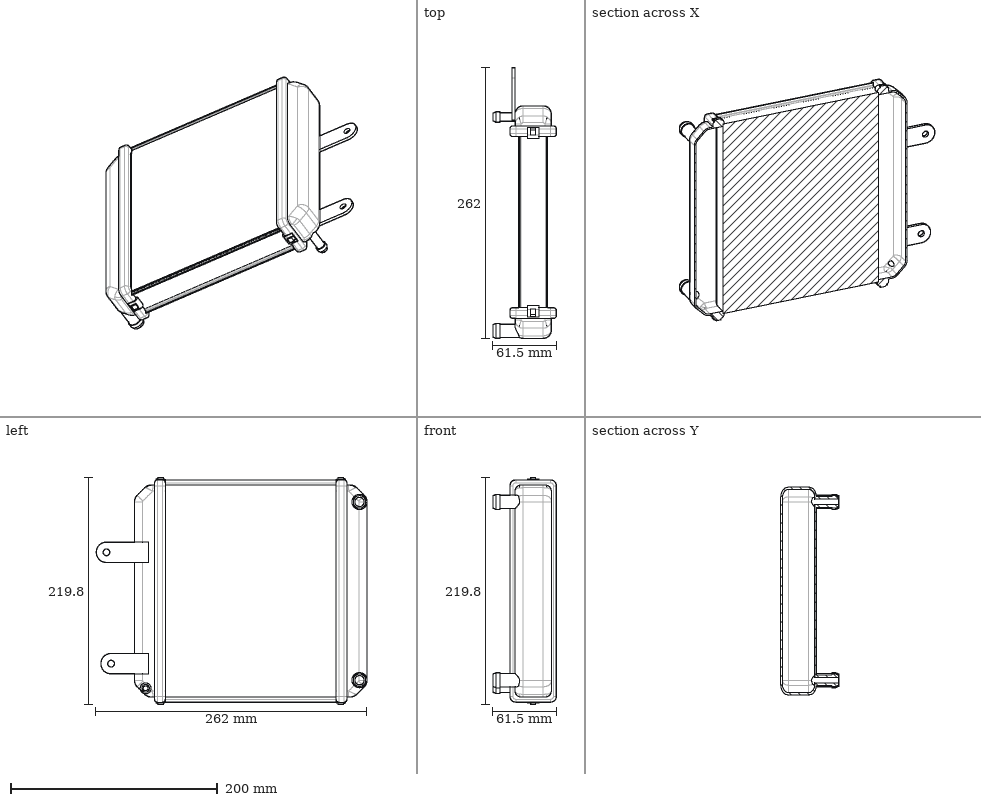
import cadquery as cq
import math


FLANGE_WIDTH = 45.0
FLANGE_HEIGHT = 215.0
FLANGE_SPAN = 186.2
FLANGE_DEPTH = 10.5
FLANGE_OUTER_Y = FLANGE_SPAN / 2
FLANGE_INNER_Y = FLANGE_OUTER_Y - FLANGE_DEPTH
FLANGE_CORNER_RADIUS = 5.8
FLANGE_EDGE_RADIUS = 3.0

TANK_SPAN = 225.0
TANK_END_Y = TANK_SPAN / 2
TANK_WIDTH = 35.0
TANK_HEIGHT = 205.0
TANK_CHAMFER = 12.5
TANK_BEND_RADIUS = 9.0
TANK_EDGE_RADIUS = 7.9
TANK_NECK_RADIUS = 6.0
TANK_WALL = 2.0

PICK_MARGIN = 0.3

STRAP_WIDTH = 11.3
STRAP_THICKNESS = 0.8
STRAP_OVERHANG = 1.8
STRAP_SETBACK = 1.5
NUB_WIDTH = 5.0
NUB_RISE = 2.4
NUB_OUTER_GAP = 2.0
NUB_LENGTH = 6.8
NUB_RAMP = 1.8

CORE_WIDTH = 28.0
CHANNEL_DEPTH = 5.0
CHANNEL_WALL = 1.0
CHANNEL_INNER_RADIUS = 1.0
CHANNEL_OUTER_RADIUS = CHANNEL_INNER_RADIUS + CHANNEL_WALL

PIPE_END_X = -39.0
BEAD_SETBACK = 3.1
BEAD_LENGTH = 3.7
PIPE_TIP_STEP = 0.5
COOLANT_PIPE_RADIUS = 6.5
COOLANT_BEAD_RADIUS = 7.3
COOLANT_BORE_RADIUS = 4.5
COOLANT_PIPE_Y = COOLANT_BEAD_RADIUS - TANK_END_Y
COOLANT_PIPE_Z = 86.2
BLEED_PIPE_RADIUS = 4.2
BLEED_BEAD_RADIUS = 5.2
BLEED_BORE_RADIUS = 2.4
BLEED_PIPE_Y = 101.5
BLEED_PIPE_Z = -94.0

BRACKETS = [(37.5, 37.0), (-70.2, 32.5)]
BRACKET_THICKNESS = 3.1
BRACKET_WIDTH = 20.0
BRACKET_START_Y = 98.7
BRACKET_HOLE_RADIUS = 3.1


def plate_along_y(width, height, start_y, end_y):
    """A block centred on X and Z that reaches from start_y to end_y."""
    return cq.Workplane("XY").box(width, end_y - start_y, height).translate((0, (start_y + end_y) / 2, 0))


def make_flange():
    flange = plate_along_y(FLANGE_WIDTH, FLANGE_HEIGHT, FLANGE_INNER_Y, FLANGE_OUTER_Y)
    flange = flange.edges("|Y").fillet(FLANGE_CORNER_RADIUS)
    return flange.faces("<Y or >Y").edges().fillet(FLANGE_EDGE_RADIUS)


def make_tank_form(inset):
    """Tank outline, bevelled at both ends and rounded, drawn in by the inset on every outer face."""
    half_width = TANK_WIDTH / 2 - inset
    half_height = TANK_HEIGHT / 2 - inset
    end_y = TANK_END_Y - inset
    bevel = TANK_CHAMFER - inset * (2 - math.sqrt(2))
    neck_end_y = end_y - bevel

    block = plate_along_y(2 * half_width, 2 * half_height, FLANGE_INNER_Y, end_y)
    form = block.faces(">Y").edges("|X").chamfer(bevel)
    form = form.faces(">Y").edges("|X").fillet(TANK_BEND_RADIUS - inset)
    past_neck = cq.selectors.BoxSelector(
        (-TANK_WIDTH, neck_end_y + PICK_MARGIN, -TANK_HEIGHT), (TANK_WIDTH, 2 * end_y, TANK_HEIGHT)
    )
    form = form.edges(past_neck).edges("not |X").fillet(TANK_EDGE_RADIUS - inset)

    form = form.intersect(block.edges("|Y").fillet(TANK_NECK_RADIUS - inset))
    neck_bends = cq.selectors.BoxSelector(
        (-PICK_MARGIN, neck_end_y - PICK_MARGIN, -TANK_HEIGHT),
        (PICK_MARGIN, neck_end_y + PICK_MARGIN, TANK_HEIGHT),
    )
    return form.edges(neck_bends).fillet(TANK_BEND_RADIUS - inset)


def make_clip():
    """Strap hooked over the top and inner side of the flange, with a ramped nub."""
    top = FLANGE_HEIGHT / 2
    strap_top = top + STRAP_THICKNESS
    strap_inner_y = FLANGE_INNER_Y - STRAP_OVERHANG
    strap_outer_y = FLANGE_OUTER_Y - STRAP_SETBACK
    bend_radius = FLANGE_EDGE_RADIUS + STRAP_THICKNESS
    strap_bottom = top - CHANNEL_DEPTH + CHANNEL_WALL
    strap = (
        cq.Workplane("YZ")
        .moveTo(strap_outer_y, strap_bottom)
        .lineTo(strap_outer_y, strap_top)
        .lineTo(strap_inner_y + bend_radius, strap_top)
        .radiusArc((strap_inner_y, strap_top - bend_radius), -bend_radius)
        .lineTo(strap_inner_y, strap_bottom)
        .close()
        .extrude(STRAP_WIDTH / 2, both=True)
    )
    nub_top = top + NUB_RISE
    nub_outer_y = FLANGE_OUTER_Y - NUB_OUTER_GAP
    nub_inner_y = nub_outer_y - NUB_LENGTH
    nub = (
        cq.Workplane("YZ")
        .moveTo(nub_inner_y, top)
        .lineTo(nub_outer_y, top)
        .lineTo(nub_outer_y, strap_top)
        .lineTo(nub_outer_y - NUB_RAMP, nub_top)
        .lineTo(nub_inner_y, nub_top)
        .close()
        .extrude(NUB_WIDTH / 2, both=True)
    )
    return strap.union(nub)


def make_tank_blank():
    """Tank, flange and the clips at both ends, for the +Y end."""
    clip = make_clip()
    return make_tank_form(0).union(make_flange()).union(clip).union(clip.mirror("XY"))


def make_pipe(radius, bead_radius, y, z):
    """Solid pipe with a cone rising to a bead at its tip, reaching to the middle plane of the tank."""
    bead_start_x = PIPE_END_X + BEAD_SETBACK
    bead_end_x = bead_start_x + BEAD_LENGTH
    return (
        cq.Workplane("XY")
        .moveTo(PIPE_END_X, 0)
        .lineTo(PIPE_END_X, radius - PIPE_TIP_STEP)
        .lineTo(bead_start_x, bead_radius)
        .lineTo(bead_end_x, bead_radius)
        .lineTo(bead_end_x, radius)
        .lineTo(0, radius)
        .lineTo(0, 0)
        .close()
        .revolve(360, (0, 0, 0), (1, 0, 0))
        .translate((0, y, z))
    )


def make_bore(radius, y, z):
    return cq.Workplane("YZ", origin=(PIPE_END_X, y, z)).circle(radius).extrude(-PIPE_END_X)


def make_bracket(z, reach):
    """Flat lug with a round end on the -X side of the tank."""
    outer_x = -TANK_WIDTH / 2 - BRACKET_THICKNESS
    half_width = BRACKET_WIDTH / 2
    tip_y = TANK_END_Y + reach
    hole_y = tip_y - half_width
    return (
        cq.Workplane("YZ", origin=(outer_x, 0, z))
        .moveTo(BRACKET_START_Y, -half_width)
        .lineTo(hole_y, -half_width)
        .threePointArc((tip_y, 0), (hole_y, half_width))
        .lineTo(BRACKET_START_Y, half_width)
        .close()
        .moveTo(hole_y, 0)
        .circle(BRACKET_HOLE_RADIUS)
        .extrude(BRACKET_THICKNESS)
    )


def make_inlet_tank():
    """Tank at the -Y end, with the two coolant pipes."""
    tank = make_tank_blank().mirror("XZ")
    cavity = make_tank_form(TANK_WALL).mirror("XZ")
    for z in (-COOLANT_PIPE_Z, COOLANT_PIPE_Z):
        tank = tank.union(make_pipe(COOLANT_PIPE_RADIUS, COOLANT_BEAD_RADIUS, COOLANT_PIPE_Y, z))
        cavity = cavity.union(make_bore(COOLANT_BORE_RADIUS, COOLANT_PIPE_Y, z))
    return tank.cut(cavity)


def make_return_tank():
    """Tank at the +Y end, with the bleed pipe and the mounting brackets."""
    tank = make_tank_blank().union(
        make_pipe(BLEED_PIPE_RADIUS, BLEED_BEAD_RADIUS, BLEED_PIPE_Y, BLEED_PIPE_Z)
    )
    for z, reach in BRACKETS:
        tank = tank.union(make_bracket(z, reach))
    bore = make_bore(BLEED_BORE_RADIUS, BLEED_PIPE_Y, BLEED_PIPE_Z)
    return tank.cut(make_tank_form(TANK_WALL).union(bore))


def make_channel():
    """Side plate along the top of the core, with its legs pointing up."""
    length = 2 * FLANGE_INNER_Y
    base_z = FLANGE_HEIGHT / 2 - CHANNEL_DEPTH
    outside = (
        cq.Workplane("XY").box(CORE_WIDTH, length, CHANNEL_DEPTH, centered=(True, True, False))
        .edges("|Y and <Z").fillet(CHANNEL_OUTER_RADIUS)
    )
    inside = (
        cq.Workplane("XY")
        .box(CORE_WIDTH - 2 * CHANNEL_WALL, length, CHANNEL_DEPTH, centered=(True, True, False))
        .edges("|Y and <Z").fillet(CHANNEL_INNER_RADIUS)
        .translate((0, 0, CHANNEL_WALL))
    )
    return outside.cut(inside).translate((0, 0, base_z))


def make_core():
    block_height = FLANGE_HEIGHT - 2 * CHANNEL_DEPTH
    core = plate_along_y(CORE_WIDTH, block_height, -FLANGE_INNER_Y, FLANGE_INNER_Y)
    channel = make_channel()
    return core.union(channel).union(channel.mirror("XY"))


inlet_tank = make_inlet_tank()
return_tank = make_return_tank()
core = make_core()

result = cq.Compound.makeCompound([core.val(), inlet_tank.val(), return_tank.val()])